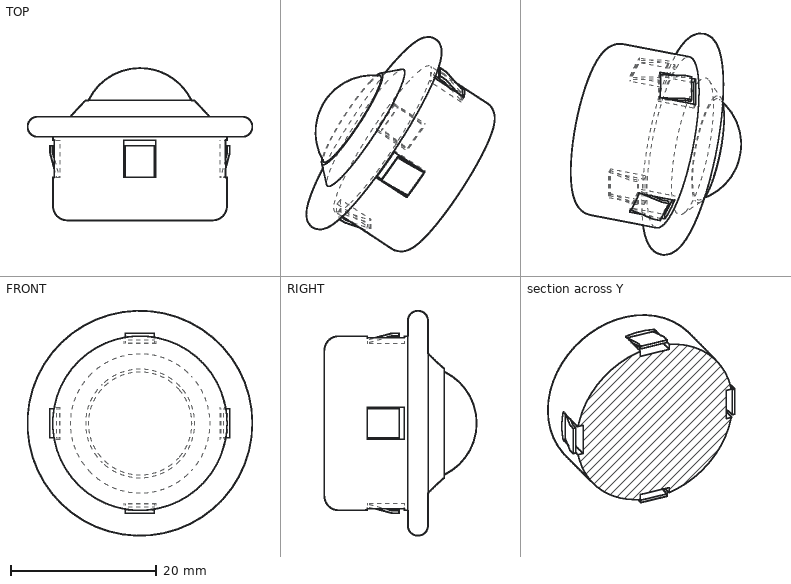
import cadquery as cq
import math


full_turn = 360.0

cup_radius = 12.0
cup_depth = 11.5
cup_corner_radius = 2.0

flange_radius = 15.5
flange_thickness = 2.8
rim_radius = flange_thickness / 2

collar_base_radius = 9.6
collar_top_radius = 7.5
collar_top_y = 5.05

overall_length = 21.0
ball_radius = 7.9
ball_top_y = overall_length - cup_depth
ball_center_y = ball_top_y - ball_radius
ball_exit_radius = math.sqrt(ball_radius**2 - (collar_top_y - ball_center_y) ** 2)
ball_arc_angle = math.atan2(collar_top_y - ball_center_y, ball_exit_radius)
ball_mid_angle = (ball_arc_angle + math.pi / 2) / 2

clip_count = 4
window_width = 4.4
window_top_y = -0.45
window_bottom_y = -5.55
window_floor_radius = 11.0
window_overcut = 1.0
clip_width = 4.0
clip_thickness = 0.4
clip_tip_y = -1.2
clip_bend_y = -2.15
clip_tip_radius = 12.4
clip_root_radius = 11.5


def make_body():
    """Revolve the half profile of cup, flange, collar and ball about the Y axis."""
    corner_center_radius = cup_radius - cup_corner_radius
    corner_center_y = cup_corner_radius - cup_depth
    corner_mid_offset = cup_corner_radius * math.sqrt(0.5)
    rim_center_radius = flange_radius - rim_radius
    ball_mid_point = (
        ball_radius * math.cos(ball_mid_angle),
        ball_center_y + ball_radius * math.sin(ball_mid_angle),
    )
    profile = (
        cq.Workplane("XY")
        .moveTo(0, -cup_depth)
        .lineTo(corner_center_radius, -cup_depth)
        .threePointArc(
            (corner_center_radius + corner_mid_offset, corner_center_y - corner_mid_offset),
            (cup_radius, corner_center_y),
        )
        .lineTo(cup_radius, 0)
        .lineTo(rim_center_radius, 0)
        .threePointArc((flange_radius, rim_radius), (rim_center_radius, flange_thickness))
        .lineTo(collar_base_radius, flange_thickness)
        .lineTo(collar_top_radius, collar_top_y)
        .lineTo(ball_exit_radius, collar_top_y)
        .threePointArc(ball_mid_point, (0, ball_top_y))
        .close()
    )
    return profile.revolve(full_turn, (0, 0, 0), (0, 1, 0))


def make_window():
    """Flat-bottomed pocket cut into the +X side of the cup wall."""
    depth = cup_radius + window_overcut - window_floor_radius
    height = window_top_y - window_bottom_y
    pocket = cq.Workplane("XY").box(depth, height, window_width, centered=(False, False, True))
    return pocket.translate((window_floor_radius, window_bottom_y, 0))


def make_clip():
    """Bent spring tongue on the +X side, rooted in the lower end of its window."""
    tip_inner_radius = clip_tip_radius - clip_thickness
    root_inner_radius = clip_root_radius - clip_thickness
    return (
        cq.Workplane("XY")
        .moveTo(clip_root_radius, window_bottom_y)
        .lineTo(clip_tip_radius, clip_bend_y)
        .lineTo(clip_tip_radius, clip_tip_y)
        .lineTo(tip_inner_radius, clip_tip_y)
        .lineTo(tip_inner_radius, clip_bend_y)
        .lineTo(root_inner_radius, window_bottom_y)
        .close()
        .extrude(clip_width / 2, both=True)
    )


def around_axis(shape, index):
    """Turn a +X side feature to its place around the Y axis."""
    return shape.rotate((0, 0, 0), (0, 1, 0), index * full_turn / clip_count)


result = make_body()
for i in range(clip_count):
    result = result.cut(around_axis(make_window(), i))
    result = result.union(around_axis(make_clip(), i))